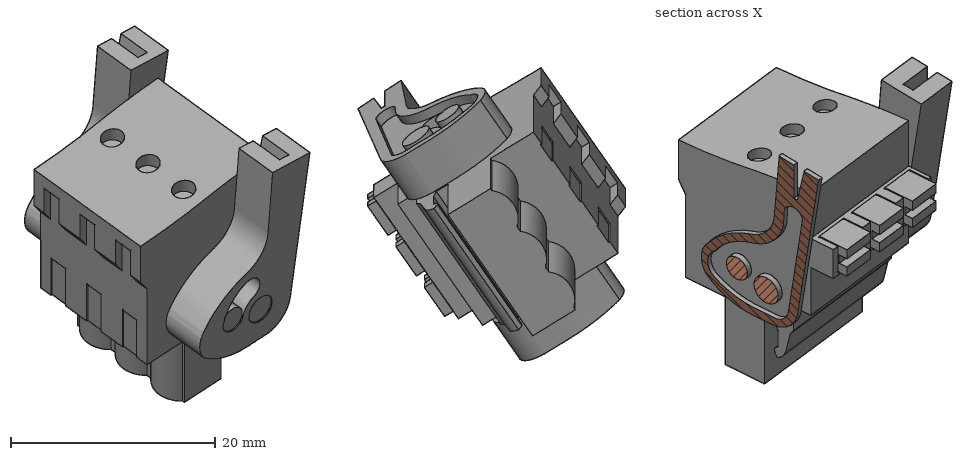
import cadquery as cq
import math


overall_width = 24.95
overall_height = 29.52
pole_pitch = 5.08
pole_centres = [-pole_pitch, 0, pole_pitch]

housing_width = 15.17
top_z = 17.95
rear_wall_y = 15.85
overhang = 0.9
overhang_bottom_z = 10.18
overhang_chamfer_z = 11.63
front_top_z = 16.47
crest_y = 8.9
crest_z = 17.35
hollow_bow = 0.18
crown_bow = 0.1
shelf_rear_y = 18.7
shelf_bottom_z = 8.8
shelf_top_z = 12.37
rear_step_y = 13.67
rear_step_z = 2.92

plug_bottom_z = -8.32
plug_front_y = 5.02
plug_rear_y = 10.0
barrel_width = 4.52
barrel_bulge = 1.0

upper_slot_width = 2.13
upper_slot_top_z = 14.9
lower_slot_width = 2.05
lower_slot_height = 5.0
lower_slot_depth = 0.15
hole_radius = 1.18
hole_y = 7.32
hole_floor_z = 15.75
pocket_offset = -0.15
pocket_width = 3.9
pocket_front_y = 16.27
pocket_floor_z = 9.12

block_width = 3.65
block_rear_y = 19.75
notch_floor_y = 18.77
notch_height = 1.0

lever_width = 4.78
lever_outer_x = overall_width / 2
recess_depth = 1.0
lever_top_z = overall_height + plug_bottom_z
grip_slot_length = 3.75
pivot_y = 10.7
pivot_z = 3.9
pivot_radius = 1.55
stop_radius = 1.35
stop_orbit = 3.8
stop_start_angle = 14
stop_end_angle = 67.5
pin_setback = 0.15


def side_profile(x):
    """Sketch plane at the given X, with local coordinates (Y, Z), extruding towards +X."""
    return cq.Workplane("YZ", origin=(x, 0, 0))


def box(x_centre, width, y_min, y_max, z_min, z_max):
    """Box centred on x_centre, spanning the given Y and Z ranges."""
    size_y = y_max - y_min
    size_z = z_max - z_min
    corner = (x_centre - width / 2, y_min, z_min)
    return cq.Workplane("XY").box(width, size_y, size_z, centered=False).translate(corner)


def disc(x, centre, radius, length):
    """Cylinder along X, starting at the given X, with its axis at centre (Y, Z)."""
    return side_profile(x).center(*centre).circle(radius).extrude(length)


def about_pivot(radius, angle):
    """Point (Y, Z) at a radius and angle about the lever pivot."""
    turn = math.radians(angle)
    return (pivot_y - radius * math.cos(turn), pivot_z + radius * math.sin(turn))


def housing_shell():
    """Main block with its S-shaped top, front overhang, rear shelf and rear step."""
    front = (-overhang, front_top_z)
    crest = (crest_y, crest_z)
    hollow_middle = ((crest_y - overhang) / 2, (crest_z + front_top_z) / 2 - hollow_bow)
    crown_middle = ((crest_y + rear_wall_y) / 2, (crest_z + top_z) / 2 + crown_bow)
    return (
        side_profile(-housing_width / 2)
        .polyline([(rear_step_y, 0), (0, 0), (0, overhang_bottom_z), (-overhang, overhang_chamfer_z), front])
        .threePointArc(hollow_middle, crest)
        .threePointArc(crown_middle, (rear_wall_y, top_z))
        .lineTo(rear_wall_y, shelf_top_z)
        .lineTo(shelf_rear_y, shelf_top_z)
        .lineTo(shelf_rear_y, shelf_bottom_z)
        .lineTo(rear_wall_y, shelf_bottom_z)
        .lineTo(rear_wall_y, rear_step_z)
        .lineTo(rear_step_y, rear_step_z)
        .close()
        .extrude(housing_width)
    )


def plug():
    """Block with one rounded barrel front per pole."""
    height = -plug_bottom_z
    body = box(0, housing_width, plug_front_y, plug_rear_y, plug_bottom_z, 0)
    for x in pole_centres:
        barrel = (
            cq.Workplane("XY", origin=(x, plug_front_y, plug_bottom_z))
            .moveTo(-barrel_width / 2, 0)
            .threePointArc((0, -barrel_bulge), (barrel_width / 2, 0))
            .close()
            .extrude(height)
        )
        body = body.union(barrel)
    return body


def latch_hook():
    """Hook hanging from the underside behind the plug."""
    return (
        side_profile(-housing_width / 2)
        .moveTo(rear_step_y, 0)
        .lineTo(13.25, -0.6)
        .lineTo(12.7, -3.05)
        .threePointArc((12.25, -3.85), (11.63, -4.3))
        .lineTo(11.25, -3.78)
        .lineTo(11.25, -3.37)
        .lineTo(11.7, -2.92)
        .lineTo(11.7, -0.97)
        .lineTo(11.37, 0)
        .close()
        .extrude(housing_width)
    )


def pins():
    """Pivot and stop pins, reaching through the housing from side to side into both levers."""
    length = overall_width - 2 * pin_setback
    stop_centre = about_pivot(stop_orbit, stop_start_angle)
    pivot_pin = disc(-length / 2, (pivot_y, pivot_z), pivot_radius, length)
    stop_pin = disc(-length / 2, stop_centre, stop_radius, length)
    return pivot_pin.union(stop_pin)


def make_housing():
    """Housing with its plug, hook and pins, and the openings of each pole."""
    body = housing_shell().union(plug()).union(latch_hook()).union(pins())
    for x in pole_centres:
        upper_slot = box(x, upper_slot_width, -overhang, 0, overhang_bottom_z, upper_slot_top_z)
        lower_slot = box(x, lower_slot_width, 0, lower_slot_depth, 0, lower_slot_height)
        pocket = box(
            x + pocket_offset, pocket_width, pocket_front_y, shelf_rear_y,
            pocket_floor_z, shelf_top_z,
        )
        hole = (
            cq.Workplane("XY", origin=(x, hole_y, hole_floor_z))
            .circle(hole_radius)
            .extrude(top_z - hole_floor_z)
        )
        body = body.cut(upper_slot).cut(lower_slot).cut(pocket).cut(hole)
    return body


def make_block(x):
    """Clamp block with a notch across its rear end."""
    body = box(x, block_width, pocket_front_y, block_rear_y, pocket_floor_z, shelf_top_z)
    middle_z = (pocket_floor_z + shelf_top_z) / 2
    notch = box(
        x, block_width, notch_floor_y, block_rear_y,
        middle_z - notch_height / 2, middle_z + notch_height / 2,
    )
    return body.cut(notch)


def lever_outline(x):
    """Closed side outline: straight grip at the top, rounded cam at the bottom."""
    return (
        side_profile(x)
        .moveTo(17.35, 20.63)
        .lineTo(12.3, lever_top_z)
        .lineTo(11.7, 13.45)
        .threePointArc((10.83, 11.28), (8.7, 9.9))
        .threePointArc((5.65, 8.4), (2.98, 5.75))
        .lineTo(2.65, 5.15)
        .threePointArc((2.48, 3.78), (3.0, 2.33))
        .threePointArc((5.85, 0.55), (8.85, 0))
        .lineTo(11.75, 0)
        .threePointArc((13.75, 1.0), (14.7, 2.83))
        .close()
    )


def recess_outline(x):
    """Closed outline of the recess, which leaves a rim around the lever."""
    return (
        side_profile(x)
        .moveTo(15.25, 14.82)
        .lineTo(13.45, 2.5)
        .threePointArc((12.9, 1.48), (11.87, 1.03))
        .lineTo(9.0, 1.03)
        .threePointArc((6.08, 1.54), (4.07, 2.45))
        .threePointArc((3.35, 3.85), (4.2, 5.55))
        .threePointArc((6.08, 7.53), (8.9, 8.83))
        .threePointArc((11.87, 10.72), (12.9, 12.85))
        .lineTo(13.02, 14.85)
        .threePointArc((14.2, 15.7), (15.25, 14.82))
        .close()
    )


def grip_slot(x):
    """Tapered slot cut down into the top of the grip."""
    return (
        side_profile(x)
        .moveTo(15.55, lever_top_z)
        .lineTo(14.6, 16.91)
        .lineTo(14.23, 16.91)
        .lineTo(14.23, lever_top_z)
        .close()
        .extrude(grip_slot_length)
    )


def stop_slot(x):
    """Arc slot about the pivot in which the stop pin travels."""
    middle_angle = (stop_start_angle + stop_end_angle) / 2
    outer = stop_orbit + stop_radius
    inner = stop_orbit - stop_radius
    track = (
        side_profile(x)
        .moveTo(*about_pivot(outer, stop_start_angle))
        .threePointArc(about_pivot(outer, middle_angle), about_pivot(outer, stop_end_angle))
        .lineTo(*about_pivot(inner, stop_end_angle))
        .threePointArc(about_pivot(inner, middle_angle), about_pivot(inner, stop_start_angle))
        .close()
        .extrude(lever_width)
    )
    for angle in (stop_start_angle, stop_end_angle):
        centre = about_pivot(stop_orbit, angle)
        track = track.union(disc(x, centre, stop_radius, lever_width))
    return track


def make_lever(x):
    """Lever whose recessed side lies at the given X."""
    pivot_hole = disc(x, (pivot_y, pivot_z), pivot_radius, lever_width)
    return (
        lever_outline(x).extrude(lever_width)
        .cut(recess_outline(x).extrude(recess_depth))
        .cut(grip_slot(x))
        .cut(pivot_hole)
        .cut(stop_slot(x))
    )


housing = make_housing()
blocks = [make_block(x + pocket_offset) for x in pole_centres]
levers = [make_lever(x) for x in (-lever_outer_x, lever_outer_x - lever_width)]

result = cq.Compound.makeCompound(
    [housing.val()] + [block.val() for block in blocks] + [lever.val() for lever in levers]
)